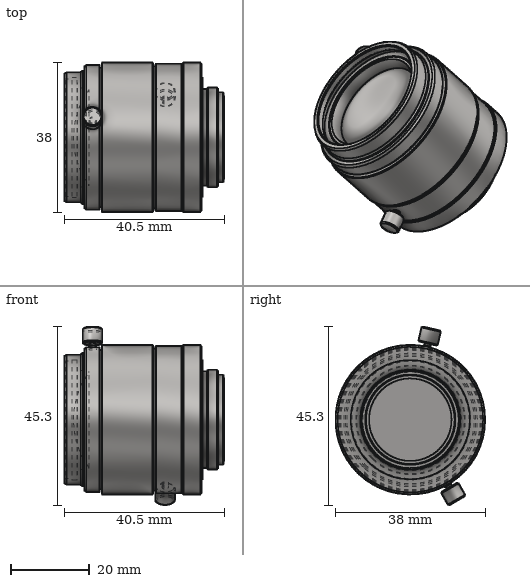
import cadquery as cq
import math


TOTAL_LENGTH = 40.55
BARREL_DIAMETER = 38.0
BARREL_RADIUS = BARREL_DIAMETER / 2
SMALL_CHAMFER = 0.23

FRONT_RIM_RADIUS = 16.55
FRONT_RIM_CHAMFER_LENGTH = 0.65
FRONT_RIM_CHAMFER_HEIGHT = 0.35
FRONT_RIM_END = 4.08
FRONT_COLLAR_RADIUS = 16.95
FRONT_COLLAR_START = 4.6

FOCUS_RING_START = 5.0
FOCUS_RING_END = 9.0
FOCUS_RING_RADIUS = 18.4
FOCUS_RING_CHAMFER_LENGTH = 0.6
FOCUS_RING_CHAMFER_HEIGHT = 0.5
FOCUS_GROOVE_RADIUS = 17.7

MAIN_START = 9.4
MAIN_END = 22.45
IRIS_GROOVE_RADIUS = 18.05
IRIS_RING_START = 23.05
IRIS_RING_END = 29.9
IRIS_RING_RADIUS = 18.7

REAR_RING_START = 30.0
REAR_RING_END = 34.85
REAR_RING_CHAMFER_LENGTH = 0.4
REAR_RING_CHAMFER_HEIGHT = 0.55
REAR_PLATE_RADIUS = 15.13
REAR_PLATE_END = 35.0

MOUNT_NECK_RADIUS = 12.3
MOUNT_NECK_END = 36.05
MOUNT_FLANGE_RADIUS = 12.7
MOUNT_FLANGE_START = 36.45
MOUNT_FLANGE_END = 39.0
MOUNT_FLANGE_CHAMFER = 0.4
MOUNT_TIP_RADIUS = 11.45
MOUNT_TIP_END = 40.35
MOUNT_TIP_CHAMFER = 0.23
REAR_LIP_RADIUS = 10.45

FILTER_BORE_RADIUS = 14.9
FILTER_BORE_CHAMFER = 0.25
THREAD_RELIEF_RADIUS = 15.2
THREAD_RELIEF_START = 1.9
FILTER_SEAT_X = 3.13
RETAINER_SLIT_OUTER_RADIUS = 13.85
RETAINER_SLIT_INNER_RADIUS = 13.7
RETAINER_SLIT_DEPTH = 0.2
HOOD_CONE_RADIUS = 12.9
HOOD_CONE_END = 5.8
GLASS_RADIUS = 12.15
GLASS_EDGE_X = 6.1
GLASS_APEX_X = 2.2

HEAD_RADIUS = 2.55
HEAD_BASE = 19.8
HEAD_TOP = 23.75
HEAD_CHAMFER = 0.3
SHANK_RADIUS = 0.75
SHANK_COLLAR_RADIUS = 0.95
SHANK_COLLAR_TOP = 19.2
SHANK_ROOT = 16.75
FOCUS_SCREW_X = 7.1
FOCUS_SCREW_ANGLE = 13
IRIS_SCREW_X = 25.5
IRIS_SCREW_ANGLE = 150


def revolve_about_x(points):
    """Turn a closed (x, radius) outline around the X axis."""
    return cq.Workplane("XY").polyline(points).close().revolve(360, (0, 0, 0), (1, 0, 0))


def make_barrel():
    return revolve_about_x([
        (0, 0),
        (0, FRONT_RIM_RADIUS - FRONT_RIM_CHAMFER_HEIGHT),
        (FRONT_RIM_CHAMFER_LENGTH, FRONT_RIM_RADIUS),
        (FRONT_RIM_END, FRONT_RIM_RADIUS),
        (FRONT_COLLAR_START, FRONT_COLLAR_RADIUS),
        (FOCUS_RING_START, FRONT_COLLAR_RADIUS),
        (FOCUS_RING_START, FOCUS_RING_RADIUS - FOCUS_RING_CHAMFER_HEIGHT),
        (FOCUS_RING_START + FOCUS_RING_CHAMFER_LENGTH, FOCUS_RING_RADIUS),
        (FOCUS_RING_END - SMALL_CHAMFER, FOCUS_RING_RADIUS),
        (FOCUS_RING_END, FOCUS_RING_RADIUS - SMALL_CHAMFER),
        (FOCUS_RING_END, FOCUS_GROOVE_RADIUS),
        (MAIN_START, FOCUS_GROOVE_RADIUS),
        (MAIN_START, BARREL_RADIUS - SMALL_CHAMFER),
        (MAIN_START + SMALL_CHAMFER, BARREL_RADIUS),
        (MAIN_END - SMALL_CHAMFER, BARREL_RADIUS),
        (MAIN_END, BARREL_RADIUS - SMALL_CHAMFER),
        (MAIN_END, IRIS_GROOVE_RADIUS),
        (IRIS_RING_START, IRIS_GROOVE_RADIUS),
        (IRIS_RING_START, IRIS_RING_RADIUS - SMALL_CHAMFER),
        (IRIS_RING_START + SMALL_CHAMFER, IRIS_RING_RADIUS),
        (IRIS_RING_END - SMALL_CHAMFER, IRIS_RING_RADIUS),
        (IRIS_RING_END, IRIS_RING_RADIUS - SMALL_CHAMFER),
        (REAR_RING_START, IRIS_RING_RADIUS - SMALL_CHAMFER),
        (REAR_RING_START, BARREL_RADIUS - SMALL_CHAMFER),
        (REAR_RING_START + SMALL_CHAMFER, BARREL_RADIUS),
        (REAR_RING_END - REAR_RING_CHAMFER_LENGTH, BARREL_RADIUS),
        (REAR_RING_END, BARREL_RADIUS - REAR_RING_CHAMFER_HEIGHT),
        (REAR_RING_END, REAR_PLATE_RADIUS),
        (REAR_PLATE_END, REAR_PLATE_RADIUS),
        (REAR_PLATE_END, MOUNT_NECK_RADIUS),
        (MOUNT_NECK_END, MOUNT_NECK_RADIUS),
        (MOUNT_FLANGE_START, MOUNT_FLANGE_RADIUS),
        (MOUNT_FLANGE_END - MOUNT_FLANGE_CHAMFER, MOUNT_FLANGE_RADIUS),
        (MOUNT_FLANGE_END, MOUNT_FLANGE_RADIUS - MOUNT_FLANGE_CHAMFER),
        (MOUNT_FLANGE_END, MOUNT_TIP_RADIUS),
        (MOUNT_TIP_END - MOUNT_TIP_CHAMFER, MOUNT_TIP_RADIUS),
        (MOUNT_TIP_END, MOUNT_TIP_RADIUS - MOUNT_TIP_CHAMFER),
        (MOUNT_TIP_END, REAR_LIP_RADIUS),
        (TOTAL_LENGTH, REAR_LIP_RADIUS),
        (TOTAL_LENGTH, 0),
    ])


def make_front_opening():
    """Space in front of the glass; the domed glass face closes it."""
    slit_bottom = FILTER_SEAT_X + RETAINER_SLIT_DEPTH
    glass_sag = GLASS_EDGE_X - GLASS_APEX_X
    glass_curvature = (GLASS_RADIUS**2 + glass_sag**2) / (2 * glass_sag)
    mid_radius = GLASS_RADIUS / 2
    mid_x = GLASS_APEX_X + glass_curvature - math.sqrt(glass_curvature**2 - mid_radius**2)
    outline = (
        cq.Workplane("XY")
        .moveTo(0, 0)
        .lineTo(0, FILTER_BORE_RADIUS + FILTER_BORE_CHAMFER)
        .lineTo(FILTER_BORE_CHAMFER, FILTER_BORE_RADIUS)
        .lineTo(THREAD_RELIEF_START, FILTER_BORE_RADIUS)
        .lineTo(THREAD_RELIEF_START, THREAD_RELIEF_RADIUS)
        .lineTo(FILTER_SEAT_X, THREAD_RELIEF_RADIUS)
        .lineTo(FILTER_SEAT_X, RETAINER_SLIT_OUTER_RADIUS)
        .lineTo(slit_bottom, RETAINER_SLIT_OUTER_RADIUS)
        .lineTo(slit_bottom, RETAINER_SLIT_INNER_RADIUS)
        .lineTo(FILTER_SEAT_X, RETAINER_SLIT_INNER_RADIUS)
        .lineTo(FILTER_SEAT_X, HOOD_CONE_RADIUS)
        .lineTo(HOOD_CONE_END, GLASS_RADIUS)
        .lineTo(GLASS_EDGE_X, GLASS_RADIUS)
        .threePointArc((mid_x, mid_radius), (GLASS_APEX_X, 0))
        .close()
    )
    return outline.revolve(360, (0, 0, 0), (1, 0, 0))


def make_thumbscrew(x, angle):
    """Radial screw at station x, leaning from +Z toward +Y by angle degrees."""
    outline = [
        (0, SHANK_ROOT),
        (SHANK_COLLAR_RADIUS, SHANK_ROOT),
        (SHANK_COLLAR_RADIUS, SHANK_COLLAR_TOP),
        (SHANK_RADIUS, SHANK_COLLAR_TOP),
        (SHANK_RADIUS, HEAD_BASE),
        (HEAD_RADIUS - HEAD_CHAMFER, HEAD_BASE),
        (HEAD_RADIUS, HEAD_BASE + HEAD_CHAMFER),
        (HEAD_RADIUS, HEAD_TOP - HEAD_CHAMFER),
        (HEAD_RADIUS - HEAD_CHAMFER, HEAD_TOP),
        (0, HEAD_TOP),
    ]
    screw = cq.Workplane("XZ").polyline(outline).close().revolve(360, (0, 0, 0), (0, 1, 0))
    return screw.rotate((0, 0, 0), (1, 0, 0), -angle).translate((x, 0, 0))


result = (
    make_barrel()
    .cut(make_front_opening())
    .union(make_thumbscrew(FOCUS_SCREW_X, FOCUS_SCREW_ANGLE))
    .union(make_thumbscrew(IRIS_SCREW_X, IRIS_SCREW_ANGLE))
)